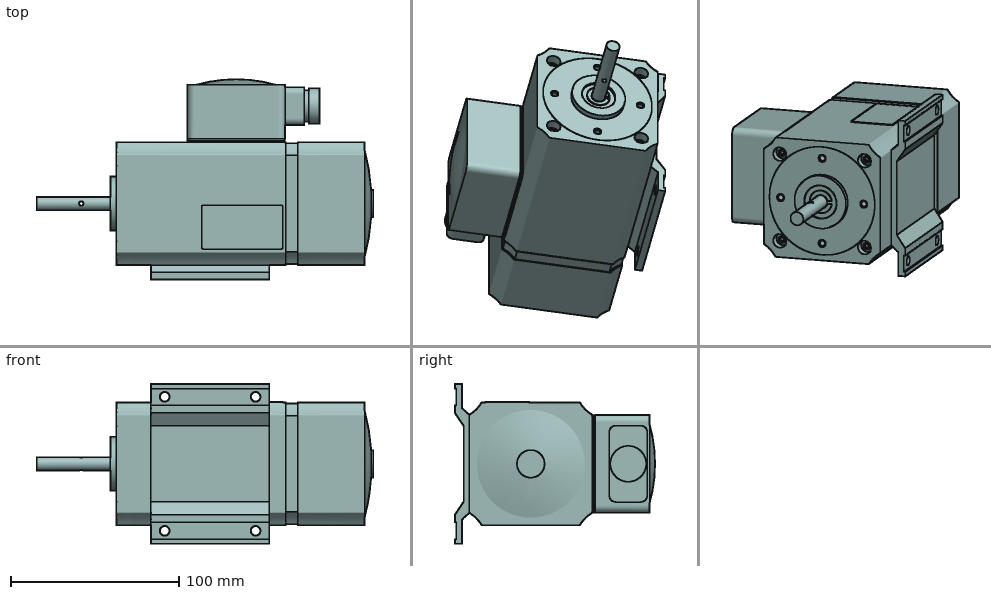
import cadquery as cq
import math


HOUSING_SIZE = 73.0
HOUSING_FLAT = 58.4
HOLLOW_SAG = 0.7
EDGE_ROUND = 0.9
FLANGE_END = 8.6
STATOR_END = 100.6
BAND_END = 107.8
CAP_END = 147.5
BAND_INSET = 0.6

DOME_RADIUS = 32.0
DOME_HEIGHT = 4.2
BUTTON_RADIUS = 8.2
BUTTON_END = 152.7

PILOT_RADIUS = 16.1
PILOT_HEIGHT = 3.55
PAD_RADIUS = 33.0
PAD_HEIGHT = 0.15
RECESS_RADIUS = 10.1
RECESS_DEPTH = 1.3
SCREW_OFFSET = 26.5
SCREW_HOLE_RADIUS = 4.1
SCREW_RECESS_DEPTH = 6.0
SCREW_HEAD_HEIGHT = 2.0
SCREW_TOP_RADIUS = 2.1
SOCKET_RADIUS = 1.25
SOCKET_DEPTH = 1.2
TAP_CIRCLE_RADIUS = 26.0
TAP_DIAMETER = 3.3
TAP_MOUTH_DIAMETER = 4.5
TAP_DEPTH = 8.0

SHAFT_RADIUS = 4.0
SHAFT_TIP = -47.3
CROSS_HOLE_X = -20.8
CROSS_HOLE_DIAMETER = 2.5
RING_RADIUS = 6.9
RING_THICKNESS = 0.7
RING_GAP = 1.8
RING_CLEARANCE = 0.15

BOX_SIZE = 58.2
BOX_START_X = 42.1
BOX_CORNER_RADIUS = 4.2
GASKET_HEIGHT = 0.9
GASKET_INSET = 0.6
RIM_HEIGHT = 1.0
RIM_INSET = 0.15
BOX_TOP_Y = 70.6
LID_DOME_RADIUS = 23.5
LID_DOME_HEIGHT = 3.3

GLAND_WIDTH = 22.6
GLAND_HEIGHT = 45.4
GLAND_CORNER_RADIUS = 4.0
GLAND_LENGTH = 11.4
GLAND_Y = 57.9
NECK_DIAMETER = 18.9
NECK_LENGTH = 2.7
NUT_DIAMETER = 21.3
NUT_LENGTH = 6.3

PLATE_LENGTH = 48.2
PLATE_WIDTH = 26.0
PLATE_THICKNESS = 0.5
PLATE_START_X = 50.7
PLATE_CENTER_Y = -14.0
PLATE_CORNER_RADIUS = 1.0

BRACKET_START_X = 20.5
BRACKET_LENGTH = 70.5
BRACKET_THICKNESS = 3.4
FOOT_HEIGHT = 8.6
FOOT_BACK = 4.2
FOOT_RELIEF = 0.8
FOOT_TOP_Z = 47.5
RAIL_END_Z = 44.7
RELIEF_START_Z = 34.8
FOOT_BEND_Z = 30.2
FOOT_BACK_BEND_Z = 33.0
WEB_HALF_WIDTH = 22.5
BRACKET_HOLE_DIAMETER = 5.6
BRACKET_HOLE_SPACING = 54.0
BRACKET_HOLE_Z = 39.8

HALF = HOUSING_SIZE / 2
HALF_FLAT = HOUSING_FLAT / 2


def plane_x(x):
    """Plane facing +X whose local axes are Y and Z."""
    return cq.Workplane("YZ", origin=(x, 0, 0))


def disc(radius, start, end):
    return plane_x(start).circle(radius).extrude(end - start)


def cone(start_radius, end_radius, start, end):
    origin = cq.Vector(start, 0, 0)
    direction = cq.Vector(1, 0, 0)
    solid = cq.Solid.makeCone(start_radius, end_radius, end - start, origin, direction)
    return cq.Workplane(solid)


def housing_section(start, end, inset, edge_round):
    """Square prism whose four corners are cut by shallow hollow arcs."""
    half = HALF - inset
    half_flat = HALF_FLAT - inset
    hollow_mid = (half + half_flat) / 2 - HOLLOW_SAG / math.sqrt(2)
    outline = plane_x(start).moveTo(-half_flat, -half)
    outline = outline.lineTo(half_flat, -half).threePointArc((hollow_mid, -hollow_mid), (half, -half_flat))
    outline = outline.lineTo(half, half_flat).threePointArc((hollow_mid, hollow_mid), (half_flat, half))
    outline = outline.lineTo(-half_flat, half).threePointArc((-hollow_mid, hollow_mid), (-half, half_flat))
    outline = outline.lineTo(-half, -half_flat).threePointArc((-hollow_mid, -hollow_mid), (-half_flat, -half))
    section = outline.close().extrude(end - start)
    if edge_round > 0:
        section = section.edges("|X").fillet(edge_round)
    return section


def spherical_cap(radius, height):
    """Shallow dome standing on the XY plane."""
    profile = cq.Workplane("XZ").lineTo(radius, 0)
    sphere_radius = (radius**2 + height**2) / (2 * height)
    mid_height = height - sphere_radius + math.sqrt(sphere_radius**2 - (radius / 2) ** 2)
    profile = profile.threePointArc((radius / 2, mid_height), (0, height)).close()
    return profile.revolve(360, (0, 0, 0), (0, 1, 0))


def rear_dome():
    dome = spherical_cap(DOME_RADIUS, DOME_HEIGHT).rotate((0, 0, 0), (0, 1, 0), 90)
    return dome.translate((CAP_END, 0, 0)).union(disc(BUTTON_RADIUS, CAP_END, BUTTON_END))


def screw_recess():
    """Cutter for a counterbore that leaves a conical screw head with a socket at its floor."""
    floor = SCREW_RECESS_DEPTH
    head_top = floor - SCREW_HEAD_HEIGHT
    cutter = disc(SCREW_HOLE_RADIUS, 0, floor)
    head = cone(SCREW_TOP_RADIUS, SCREW_HOLE_RADIUS, head_top, floor)
    return cutter.cut(head).union(disc(SOCKET_RADIUS, head_top, head_top + SOCKET_DEPTH))


def tapped_hole():
    """Cutter for a threaded hole with a countersunk mouth."""
    mouth_radius = TAP_MOUTH_DIAMETER / 2
    bore_radius = TAP_DIAMETER / 2
    mouth_depth = mouth_radius - bore_radius
    mouth = disc(mouth_radius, -PAD_HEIGHT, 0).union(cone(mouth_radius, bore_radius, 0, mouth_depth))
    return mouth.union(disc(bore_radius, 0, TAP_DEPTH))


def retaining_ring():
    recess_floor = RECESS_DEPTH - PILOT_HEIGHT
    start = recess_floor - RING_THICKNESS
    bore = disc(SHAFT_RADIUS + RING_CLEARANCE, start, recess_floor)
    ring = disc(RING_RADIUS, start, recess_floor).cut(bore)
    gap = cq.Workplane().box(RING_THICKNESS, RING_RADIUS, RING_GAP, centered=(False, False, True))
    return ring.cut(gap.translate((start, -RING_RADIUS, 0)))


def shaft():
    rod = disc(SHAFT_RADIUS, SHAFT_TIP, FLANGE_END)
    cross_hole = cq.Workplane("XY").center(CROSS_HOLE_X, 0).circle(CROSS_HOLE_DIAMETER / 2)
    return rod.cut(cross_hole.extrude(SHAFT_RADIUS, both=True))


def terminal_box():
    center_x = BOX_START_X + BOX_SIZE / 2

    def slab(start_y, end_y, inset):
        side = BOX_SIZE - 2 * inset
        block = cq.Workplane().box(side, end_y - start_y, side, centered=(True, False, True))
        return block.edges("|Y").fillet(BOX_CORNER_RADIUS - inset).translate((center_x, start_y, 0))

    rim_start = HALF + GASKET_HEIGHT
    rim_end = rim_start + RIM_HEIGHT
    box = slab(rim_end, BOX_TOP_Y, 0).union(slab(rim_start, rim_end, RIM_INSET))
    box = box.union(slab(HALF, rim_start, GASKET_INSET))
    lid_dome = spherical_cap(LID_DOME_RADIUS, LID_DOME_HEIGHT).rotate((0, 0, 0), (1, 0, 0), -90)
    return box.union(lid_dome.translate((center_x, BOX_TOP_Y, 0)))


def cable_gland():
    start = BOX_START_X + BOX_SIZE
    body_end = start + GLAND_LENGTH
    neck_end = body_end + NECK_LENGTH
    nut_end = neck_end + NUT_LENGTH
    body = plane_x(start).rect(GLAND_WIDTH, GLAND_HEIGHT).extrude(GLAND_LENGTH)
    body = body.edges("|X").fillet(GLAND_CORNER_RADIUS)
    body = body.union(disc(NECK_DIAMETER / 2, body_end, neck_end))
    body = body.union(disc(NUT_DIAMETER / 2, neck_end, nut_end))
    return body.translate((0, GLAND_Y, 0))


def name_plate():
    plate = cq.Workplane().box(PLATE_LENGTH, PLATE_WIDTH, PLATE_THICKNESS, centered=(False, True, False))
    return plate.edges("|Z").fillet(PLATE_CORNER_RADIUS).translate((PLATE_START_X, PLATE_CENTER_Y, HALF))


def build_motor():
    motor = housing_section(0, FLANGE_END, 0, EDGE_ROUND)
    motor = motor.union(housing_section(FLANGE_END, STATOR_END, 0, EDGE_ROUND), clean=False)
    motor = motor.union(housing_section(STATOR_END, BAND_END, BAND_INSET, 0), clean=False)
    motor = motor.union(housing_section(BAND_END, CAP_END, 0, EDGE_ROUND), clean=False)
    motor = motor.union(rear_dome(), clean=False)

    motor = motor.union(disc(PAD_RADIUS, -PAD_HEIGHT, 0), clean=False)
    motor = motor.union(disc(PILOT_RADIUS, -PILOT_HEIGHT, 0), clean=False)
    motor = motor.cut(disc(RECESS_RADIUS, -PILOT_HEIGHT, RECESS_DEPTH - PILOT_HEIGHT), clean=False)
    for side_y in (-1, 1):
        for side_z in (-1, 1):
            position = (0, side_y * SCREW_OFFSET, side_z * SCREW_OFFSET)
            motor = motor.cut(screw_recess().translate(position), clean=False)
    for quarter in range(4):
        hole = tapped_hole().translate((0, TAP_CIRCLE_RADIUS, 0))
        motor = motor.cut(hole.rotate((0, 0, 0), (1, 0, 0), 90 * quarter), clean=False)

    for part in (shaft(), retaining_ring(), terminal_box(), cable_gland(), name_plate()):
        motor = motor.union(part, clean=False)
    return motor


def build_bracket():
    """Folded plate: a web against the motor side and two bent-out feet with shallow relief channels."""
    motor_side = -HALF
    web_face = motor_side - BRACKET_THICKNESS
    foot_face = motor_side - FOOT_HEIGHT
    relief_face = foot_face + FOOT_RELIEF
    foot_back = motor_side - FOOT_BACK
    upper_half = [
        (web_face, WEB_HALF_WIDTH),
        (foot_face, FOOT_BEND_Z),
        (foot_face, RELIEF_START_Z),
        (relief_face, RELIEF_START_Z),
        (relief_face, RAIL_END_Z),
        (foot_face, RAIL_END_Z),
        (foot_face, FOOT_TOP_Z),
        (foot_back, FOOT_TOP_Z),
        (foot_back, FOOT_BACK_BEND_Z),
        (motor_side, HALF_FLAT),
    ]
    lower_half = [(y, -z) for y, z in reversed(upper_half)]
    bracket = plane_x(BRACKET_START_X).polyline(upper_half + lower_half).close().extrude(BRACKET_LENGTH)

    center_x = BRACKET_START_X + BRACKET_LENGTH / 2
    holes = cq.Workplane("XZ").center(center_x, 0)
    holes = holes.rect(BRACKET_HOLE_SPACING, 2 * BRACKET_HOLE_Z, forConstruction=True).vertices()
    holes = holes.circle(BRACKET_HOLE_DIAMETER / 2).extrude(HALF + FOOT_HEIGHT)
    return bracket.cut(holes)


motor = build_motor()
bracket = build_bracket()

result = cq.Compound.makeCompound([motor.solids().val(), bracket.solids().val()])